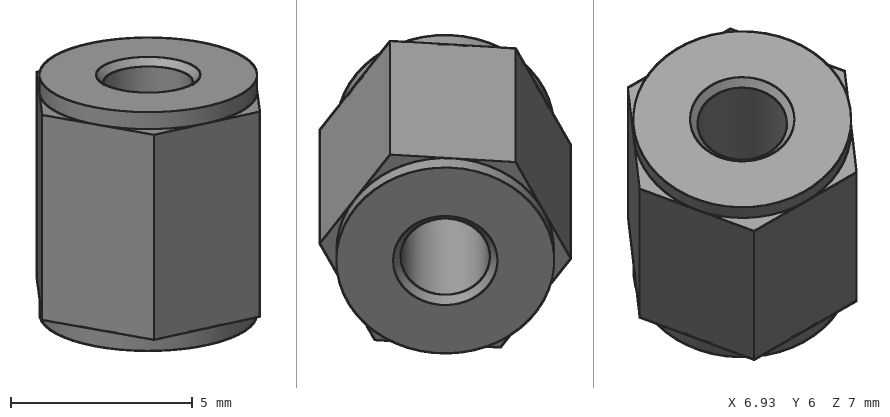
import cadquery as cq
import math

total_height = 7.0
across_flats = 6.0
collar_height = 0.5
bore_diameter = 2.46
countersink_diameter = 2.87

across_corners = across_flats / math.cos(math.pi / 6)
hex_height = total_height - 2 * collar_height
chamfer_size = (countersink_diameter - bore_diameter) / 2

body = cq.Workplane("XY").polygon(6, across_corners).extrude(hex_height / 2, both=True)

collars = cq.Workplane("XY").circle(across_flats / 2).extrude(total_height / 2, both=True)
spacer = body.union(collars)

bore = (
    cq.Workplane("XY")
    .circle(bore_diameter / 2)
    .extrude(total_height / 2, both=True)
)


def mouth_chamfer(end):
    """Cone widening toward the top (end=1) or bottom (end=-1) face."""
    return (
        cq.Workplane("XY")
        .workplane(offset=end * (total_height / 2 - chamfer_size))
        .circle(bore_diameter / 2)
        .workplane(offset=end * chamfer_size)
        .circle(countersink_diameter / 2)
        .loft()
    )


result = spacer.cut(bore)
for end in (1, -1):
    result = result.cut(mouth_chamfer(end))